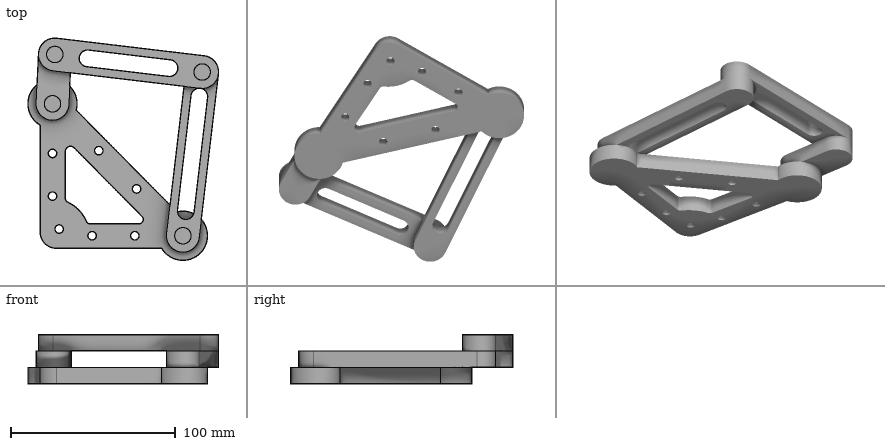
import cadquery as cq
import math


layer = 10.0
pin_diameter = 10.0
bar_width = 2 * pin_diameter
slot_width = pin_diameter

leg_x = 79.1
leg_y = 80.0
crank_length = 30.0
coupler_length = 90.0
rocker_length = 100.0
crank_angle = math.radians(87.3)
coupler_slot_inset = 20.0
rocker_slot_inset = 15.0

pad_radius = 15.0
edge_offset = 7.5
bottom_offset = 7.7
window_left = 7.8
window_bottom = 7.3
brace_window_offset = 9.5
corner_radius = 10.0
boss_radius = 22.4
window_fillet = 2.5
window_top_fillet = 3.1
hole_diameter = 5.0
corner_hole = 4.0
leg_holes = (24.0, 49.9)
brace_hole_inset = 40.0

base_z = 0
link_z = layer
coupler_z = 2 * layer


def toward(start, end, distance):
    """Point at a distance from start along the line to end."""
    span = math.dist(start, end)
    return tuple(s + (e - s) * distance / span for s, e in zip(start, end))


def circle_crossing(first, first_radius, second, second_radius):
    """Crossing of two circles that lies left of the direction first to second."""
    span = math.dist(first, second)
    along = (first_radius**2 - second_radius**2 + span**2) / (2 * span)
    height = math.sqrt(first_radius**2 - along**2)
    ux = (second[0] - first[0]) / span
    uy = (second[1] - first[1]) / span
    return (first[0] + along * ux - height * uy, first[1] + along * uy + height * ux)


crank_pivot = (0, leg_y)
rocker_pivot = (leg_x, 0)
crank_joint = (
    crank_length * math.cos(crank_angle),
    leg_y + crank_length * math.sin(crank_angle),
)
rocker_joint = circle_crossing(crank_joint, coupler_length, rocker_pivot, rocker_length)


def cylinder(center, diameter, z, height):
    return cq.Workplane("XY", origin=(*center, z)).circle(diameter / 2).extrude(height)


def stadium(start, end, width, z):
    """Round-ended bar, one layer thick, with end centres at start and end."""
    angle = math.degrees(math.atan2(end[1] - start[1], end[0] - start[0]))
    middle = ((start[0] + end[0]) / 2, (start[1] + end[1]) / 2, z)
    return (
        cq.Workplane("XY", origin=middle)
        .slot2D(math.dist(start, end) + width, width, angle)
        .extrude(layer)
    )


def make_link(start, end, z, slot_inset=None):
    """Bar with a pin hole at each end and an optional lengthwise slot."""
    link = stadium(start, end, bar_width, z)
    for joint in (start, end):
        link = link.cut(cylinder(joint, pin_diameter, z, layer))
    if slot_inset is not None:
        slot_start = toward(start, end, slot_inset)
        slot_end = toward(end, start, slot_inset)
        link = link.cut(stadium(slot_start, slot_end, slot_width, z))
    return link


def frame_triangle(left, bottom, brace_shift):
    """Prism with leg edges at x = left and y = bottom, and a third edge parallel to the brace.

    brace_shift moves the third edge outward from the line through both pivots.
    """
    brace = math.dist(crank_pivot, rocker_pivot)
    reach = 1 + brace_shift * brace / (leg_x * leg_y)
    right = leg_x * (reach - bottom / leg_y)
    top = leg_y * (reach - left / leg_x)
    corners = [(left, bottom), (right, bottom), (left, top)]
    return cq.Workplane("XY").polyline(corners).close().extrude(layer)


def make_window():
    """Triangular opening whose square corner is cut back by a round web."""
    window = frame_triangle(window_left, window_bottom, -brace_window_offset)
    window = window.cut(cylinder((0, 0), 2 * boss_radius, base_z, layer))
    lower_corners = ((0, 0, base_z), (leg_x, leg_y / 2, layer))
    window = window.edges("|Z").edges(">Y").fillet(window_top_fillet)
    sharp_corners = window.edges("|Z").edges(cq.selectors.BoxSelector(*lower_corners))
    return sharp_corners.fillet(window_fillet)


def make_outline():
    """Triangular frame, trimmed at the pivots, with a round pad on each pivot."""
    trim = cq.Workplane("XY").rect(2 * leg_x, 2 * leg_y).extrude(layer)
    outline = frame_triangle(-edge_offset, -bottom_offset, edge_offset).intersect(trim)
    outline = outline.edges("|Z").edges("<(1, 1, 0)").fillet(corner_radius)
    for pivot in (crank_pivot, rocker_pivot):
        outline = outline.union(cylinder(pivot, 2 * pad_radius, base_z, layer))
    return outline


def make_base():
    base = make_outline().cut(make_window())
    for pivot in (crank_pivot, rocker_pivot):
        base = base.cut(cylinder(pivot, pin_diameter, base_z, layer))
    mounting_holes = [
        (corner_hole, corner_hole),
        *[(distance, 0) for distance in leg_holes],
        *[(0, distance) for distance in leg_holes],
        toward(crank_pivot, rocker_pivot, brace_hole_inset),
        toward(rocker_pivot, crank_pivot, brace_hole_inset),
    ]
    for center in mounting_holes:
        base = base.cut(cylinder(center, hole_diameter, base_z, layer))
    return base


def make_pin(center, z):
    """Plain pin through two layers, flush at both ends."""
    return cylinder(center, pin_diameter, z, 2 * layer)


base = make_base()
crank = make_link(crank_pivot, crank_joint, link_z)
rocker = make_link(rocker_pivot, rocker_joint, link_z, rocker_slot_inset)
coupler = make_link(crank_joint, rocker_joint, coupler_z, coupler_slot_inset)

pin_places = [
    (crank_pivot, base_z),
    (rocker_pivot, base_z),
    (crank_joint, link_z),
    (rocker_joint, link_z),
]
pins = [make_pin(center, z).val() for center, z in pin_places]

result = cq.Compound.makeCompound([base.val(), crank.val(), rocker.val(), coupler.val(), *pins])